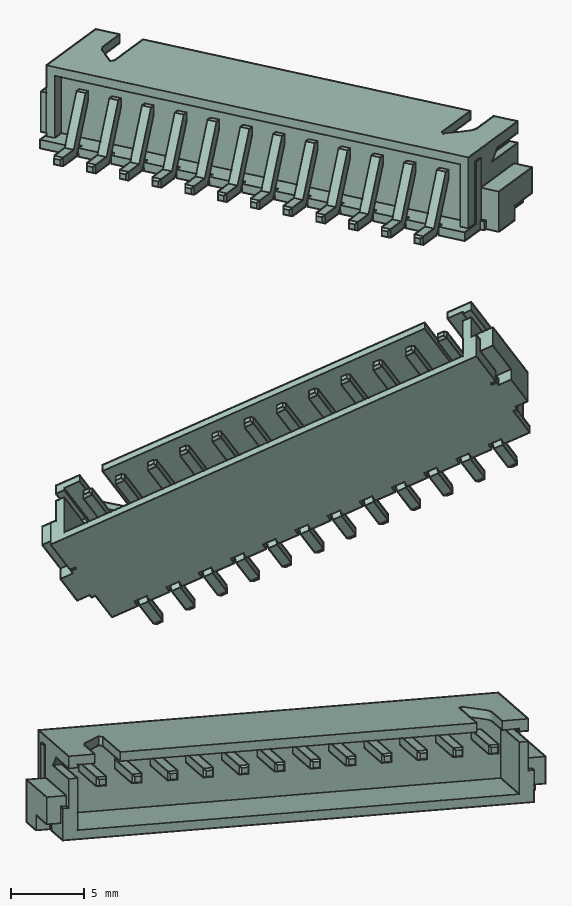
import cadquery as cq
import math


PIN_COUNT = 12
PITCH = 2.54
PIN_WIDTH = 0.70
PIN_THICKNESS = 0.65
PIN_TOP = 4.22
PIN_LEAN = math.radians(25.2)
TAIL_TOP_START = 8.18
TAIL_END = 9.91
TIP_LENGTH = 0.22
TIP_TAPER = 28

BODY_WIDTH = 32.74
BODY_HEIGHT = 5.92
BODY_DEPTH = 7.03
WALL = 0.65
CAVITY_DEPTH = 4.30
REAR_POCKET_FLOOR = 6.08

FOOT_DEPTH = 7.76
RIB_FRONT = 5.38
RIB_BACK = 6.14
RIB_PROUD = 0.10
TAIL_NOTCH_WIDTH = 0.97
TAIL_NOTCH_START = 7.29

SIDE_SLOT_BOTTOM = 4.32
SIDE_SLOT_TOP = 5.06
SIDE_SLOT_DEPTH = 3.66

ROOF_SLOT_OUTER_X = 14.50
ROOF_SLOT_WIDTH = 1.80
ROOF_SLOT_DEPTH = 4.29
ROOF_SLOT_TIP = 0.22
ROOF_SLOT_RADIUS = 1.0
ROOF_SLOT_END_ANGLE = math.radians(45)

OVERALL_WIDTH = 35.53
EAR_FRONT = 0.54
EAR_BACK = 5.27
EAR_TOP = 3.00
EAR_UNDERSIDE = 1.08
EAR_LEG_FRONT = 3.00
PAD_PROUD = 0.41
FRONT_PAD_HEIGHT = 2.26
FRONT_PAD_BACK = 2.62
REAR_PAD_FRONT = 2.75
REAR_PAD_BACK = 5.52

HALF_BODY = BODY_WIDTH / 2
FOOT_WIDTH = BODY_WIDTH + 2 * RIB_PROUD


def block(x_min, x_max, front, back, bottom, top):
    """Box between two distances (front, back) behind the mating face."""
    size = (x_max - x_min, back - front, top - bottom)
    return cq.Workplane("XY").box(*size, centered=False).translate((x_min, -back, bottom))


def centred_block(width, front, back, bottom, top):
    return block(-width / 2, width / 2, front, back, bottom, top)


def both_ends(shape):
    return shape.union(shape.mirror("YZ"))


def make_shell():
    inner_width = BODY_WIDTH - 2 * WALL
    inner_top = BODY_HEIGHT - WALL
    shell = centred_block(BODY_WIDTH, 0, BODY_DEPTH, 0, BODY_HEIGHT)
    shell = shell.union(centred_block(FOOT_WIDTH, RIB_FRONT, FOOT_DEPTH, 0, WALL))
    shell = shell.union(centred_block(FOOT_WIDTH, RIB_FRONT, RIB_BACK, 0, inner_top))
    mating_cavity = centred_block(inner_width, 0, CAVITY_DEPTH, WALL, inner_top)
    rear_pocket = centred_block(inner_width, REAR_POCKET_FLOOR, BODY_DEPTH, WALL, inner_top)
    return shell.cut(mating_cavity).cut(rear_pocket)


def make_side_slots():
    """Slot through both end walls with a 45 degree sloping inner end."""
    slope = SIDE_SLOT_TOP - SIDE_SLOT_BOTTOM
    outline = [
        (0, SIDE_SLOT_BOTTOM),
        (-SIDE_SLOT_DEPTH, SIDE_SLOT_BOTTOM),
        (slope - SIDE_SLOT_DEPTH, SIDE_SLOT_TOP),
        (0, SIDE_SLOT_TOP),
    ]
    return cq.Workplane("YZ").polyline(outline).close().extrude(HALF_BODY, both=True)


def make_roof_slots():
    """Open-ended roof slots; a rounded corner leads into a 45 degree end."""
    inner_x = ROOF_SLOT_OUTER_X - ROOF_SLOT_WIDTH
    tip_x = inner_x + ROOF_SLOT_TIP
    corner_y = ROOF_SLOT_OUTER_X - tip_x - ROOF_SLOT_DEPTH
    tangent = ROOF_SLOT_RADIUS * math.tan(ROOF_SLOT_END_ANGLE / 2)
    tangent_leg = tangent * math.cos(ROOF_SLOT_END_ANGLE)
    slot = (
        cq.Workplane("XY")
        .workplane(offset=BODY_HEIGHT - WALL)
        .moveTo(inner_x, 0)
        .lineTo(ROOF_SLOT_OUTER_X, 0)
        .lineTo(ROOF_SLOT_OUTER_X, corner_y + tangent)
        .tangentArcPoint((ROOF_SLOT_OUTER_X - tangent_leg, corner_y - tangent_leg), relative=False)
        .lineTo(tip_x, -ROOF_SLOT_DEPTH)
        .lineTo(inner_x, ROOF_SLOT_TIP - ROOF_SLOT_DEPTH)
        .close()
        .extrude(WALL)
    )
    return both_ends(slot)


def make_pads():
    """Housing pads behind the ears: a taller one in front and a low one around the leg."""
    pad_x = HALF_BODY + PAD_PROUD
    front_pad = block(HALF_BODY, pad_x, 0, FRONT_PAD_BACK, 0, FRONT_PAD_HEIGHT)
    rear_pad = block(HALF_BODY, pad_x, REAR_PAD_FRONT, REAR_PAD_BACK, 0, WALL)
    return both_ends(front_pad.union(rear_pad))


def make_ears():
    outer_x = OVERALL_WIDTH / 2
    ear = block(HALF_BODY, outer_x, EAR_FRONT, EAR_BACK, EAR_UNDERSIDE, EAR_TOP)
    leg = block(HALF_BODY, outer_x, EAR_LEG_FRONT, EAR_BACK, 0, EAR_UNDERSIDE)
    return both_ends(ear.union(leg))


def make_pin():
    """Bent contact: straight blade, leg sloping down to the board, flat solder tail, tapered tips."""
    straight_start = -TIP_LENGTH
    straight_end = TIP_LENGTH - TAIL_END
    lean = math.tan(PIN_LEAN)
    leg_width = PIN_THICKNESS / math.cos(PIN_LEAN)
    outer_foot = TAIL_TOP_START + PIN_THICKNESS * lean
    inner_foot = outer_foot - leg_width
    contact_bottom = PIN_TOP - PIN_THICKNESS
    outline = [
        (straight_start, PIN_TOP),
        (PIN_TOP * lean - outer_foot, PIN_TOP),
        (-TAIL_TOP_START, PIN_THICKNESS),
        (straight_end, PIN_THICKNESS),
        (straight_end, 0),
        (-inner_foot, 0),
        (contact_bottom * lean - inner_foot, contact_bottom),
        (straight_start, contact_bottom),
    ]
    pin = cq.Workplane("YZ").polyline(outline).close().extrude(PIN_WIDTH / 2, both=True)
    for end_face in (">Y", "<Y"):
        pin = pin.faces(end_face).wires().toPending().workplane().extrude(TIP_LENGTH, taper=TIP_TAPER)
    return pin


def pin_positions():
    """Centre position of each pin along the row."""
    return [(index - (PIN_COUNT - 1) / 2) * PITCH for index in range(PIN_COUNT)]


result = make_shell().cut(make_side_slots()).cut(make_roof_slots())
result = result.union(make_pads()).union(make_ears())

pin = make_pin()
tail_notch = centred_block(TAIL_NOTCH_WIDTH, TAIL_NOTCH_START, FOOT_DEPTH, 0, WALL)
for pin_x in pin_positions():
    result = result.cut(tail_notch.translate((pin_x, 0, 0)))
    result = result.union(pin.translate((pin_x, 0, 0)))